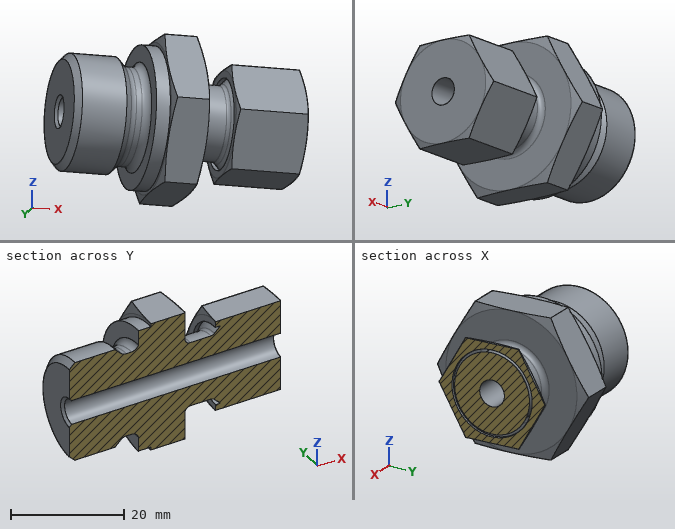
import cadquery as cq
import math

LENGTH = 43.0
THREAD_END = 9.35
COLLAR_START = 14.05
BODY_HEX_START = 16.6
BODY_HEX_END = 23.6
NUT_START = 29.75

THREAD_DIAMETER = 20.95
GROOVE_DIAMETER = 17.67
COLLAR_DIAMETER = 25.8
NECK_DIAMETER = 13.6
BORE_DIAMETER = 5.0
BORE_MOUTH_DIAMETER = 6.0

BODY_HEX_FLATS = 27.0
NUT_FLATS = 19.0
NUT_OPENING_DIAMETER = 16.43
HEX_CHAMFER_ANGLE = 15.0

THREAD_CHAMFER = 1.15
GROOVE_RADIUS = 1.5
GROOVE_FLAT_END = 12.65
NECK_FILLET = 1.0
NECK_END = 28.8


def turned_body():
    """Revolved thread, relief groove, collar, neck and the core inside the nut."""
    thread_r = THREAD_DIAMETER / 2
    groove_r = GROOVE_DIAMETER / 2
    collar_r = COLLAR_DIAMETER / 2
    neck_r = NECK_DIAMETER / 2

    half_angle = math.radians(22.5)
    diagonal = math.sqrt(0.5)
    blend_rise = GROOVE_RADIUS * (1 - diagonal)
    blend_start = THREAD_END + thread_r - groove_r - blend_rise
    blend_end = blend_start + GROOVE_RADIUS * diagonal
    blend_mid = (
        blend_end - GROOVE_RADIUS * math.sin(half_angle),
        groove_r + GROOVE_RADIUS * (1 - math.cos(half_angle)),
    )

    arc_angle = math.asin((COLLAR_START - GROOVE_FLAT_END) / GROOVE_RADIUS)
    arc_mid = (
        GROOVE_FLAT_END + GROOVE_RADIUS * math.sin(arc_angle / 2),
        groove_r + GROOVE_RADIUS * (1 - math.cos(arc_angle / 2)),
    )
    arc_top_r = groove_r + GROOVE_RADIUS * (1 - math.cos(arc_angle))

    fillet_mid = NECK_FILLET * (1 - diagonal)
    cone_start = NECK_END + NECK_FILLET * diagonal
    cone_start_r = neck_r + fillet_mid
    cone_end_r = NUT_OPENING_DIAMETER / 2
    cone_end = cone_start + cone_end_r - cone_start_r
    rise_mid = (
        NECK_END + NECK_FILLET * math.sin(half_angle),
        neck_r + NECK_FILLET * (1 - math.cos(half_angle)),
    )

    profile = (
        cq.Workplane("XY")
        .moveTo(0, 0)
        .lineTo(0, thread_r - THREAD_CHAMFER)
        .lineTo(THREAD_CHAMFER, thread_r)
        .lineTo(THREAD_END, thread_r)
        .lineTo(blend_start, groove_r + blend_rise)
        .threePointArc(blend_mid, (blend_end, groove_r))
        .lineTo(GROOVE_FLAT_END, groove_r)
        .threePointArc(arc_mid, (COLLAR_START, arc_top_r))
        .lineTo(COLLAR_START, collar_r)
        .lineTo(BODY_HEX_END, collar_r)
        .lineTo(BODY_HEX_END, neck_r + NECK_FILLET)
        .threePointArc(
            (BODY_HEX_END + fillet_mid, neck_r + fillet_mid),
            (BODY_HEX_END + NECK_FILLET, neck_r),
        )
        .lineTo(NECK_END, neck_r)
        .threePointArc(rise_mid, (cone_start, cone_start_r))
        .lineTo(cone_end, cone_end_r)
        .lineTo(LENGTH, cone_end_r)
        .lineTo(LENGTH, 0)
        .close()
    )
    return profile.revolve(360, (0, 0, 0), (1, 0, 0))


def chamfered_hex(start, end, flats):
    """Hexagonal prism with flats facing +Z and -Z and conical corners at both ends."""
    corner_diameter = flats / math.cos(math.radians(30))
    flat_r = flats / 2
    corner_r = corner_diameter / 2
    setback = (corner_r - flat_r) * math.tan(math.radians(HEX_CHAMFER_ANGLE))
    prism = (
        cq.Workplane("YZ", origin=(start, 0, 0))
        .polygon(6, corner_diameter)
        .extrude(end - start)
    )
    envelope = (
        cq.Workplane("XY")
        .polyline([
            (start, 0),
            (start, flat_r),
            (start + setback, corner_r),
            (end - setback, corner_r),
            (end, flat_r),
            (end, 0),
        ])
        .close()
        .revolve(360, (0, 0, 0), (1, 0, 0))
    )
    return prism.intersect(envelope)


def nut():
    """Hexagonal nut bored out to fit around the core of the body."""
    opening = (
        cq.Workplane("YZ", origin=(NUT_START, 0, 0))
        .circle(NUT_OPENING_DIAMETER / 2)
        .extrude(LENGTH - NUT_START)
    )
    return chamfered_hex(NUT_START, LENGTH, NUT_FLATS).cut(opening)


def bore():
    """Through hole with a 45 degree countersink at the threaded end."""
    bore_r = BORE_DIAMETER / 2
    mouth_r = BORE_MOUTH_DIAMETER / 2
    return (
        cq.Workplane("XY")
        .polyline([
            (0, 0),
            (0, mouth_r),
            (mouth_r - bore_r, bore_r),
            (LENGTH, bore_r),
            (LENGTH, 0),
        ])
        .close()
        .revolve(360, (0, 0, 0), (1, 0, 0))
    )


body_hex = chamfered_hex(BODY_HEX_START, BODY_HEX_END, BODY_HEX_FLATS)
result = turned_body().union(body_hex).union(nut()).cut(bore())